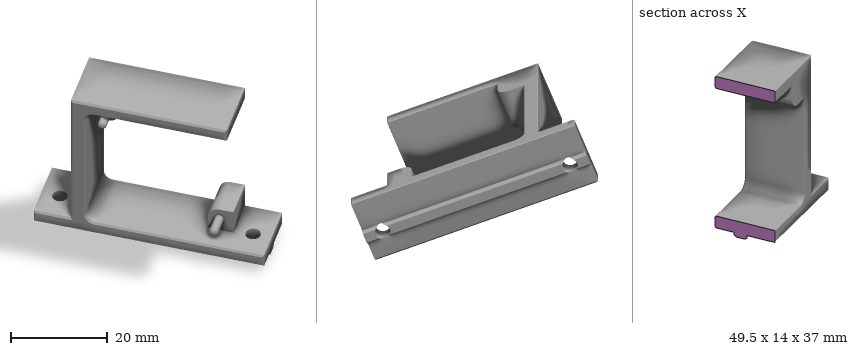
import cadquery as cq

length = 49.5
depth = 14.0
height = 37.0
foot_overhang = 8.0
key_height = 1.0
base_thickness = 2.9
wall_thickness = 3.15
arm_thickness = 2.9
inner_radius = 2.0
front_chamfer = 0.4
rear_chamfer = 0.2

hole_diameter = 3.2
hole_inset = 4.0
hole_y = 6.0
key_width = 3.05
key_chamfer = 0.5

upper_lug_width = 5.8
lower_lug_width = 5.5
lower_lug_height = 5.65
upper_lug_drop = 5.55
lug_radius = 2.48
lug_front = 5.3
pin_diameter = 1.9
pin_length = 4.95

base_top = key_height + base_thickness
wall_left = foot_overhang
wall_right = wall_left + wall_thickness
arm_end = length - foot_overhang
arm_bottom = height - arm_thickness


def box(x0, x1, y0, y1, z0, z1):
    return cq.Workplane("XY").box(x1 - x0, y1 - y0, z1 - z0, centered=False).translate((x0, y0, z0))


def make_frame():
    """Base, wall and arm as one profile, with chamfered front and rear outlines."""
    frame = (
        cq.Workplane("XZ")
        .moveTo(0, key_height)
        .lineTo(length, key_height)
        .lineTo(length, base_top)
        .lineTo(wall_right, base_top)
        .lineTo(wall_right, arm_bottom)
        .lineTo(arm_end, arm_bottom)
        .lineTo(arm_end, height)
        .lineTo(wall_left, height)
        .lineTo(wall_left, base_top)
        .lineTo(0, base_top)
        .close()
        .extrude(-depth)
    )
    for corner_z in (base_top, arm_bottom):
        corner = cq.selectors.NearestToPointSelector((wall_right, depth / 2, corner_z))
        frame = frame.edges(corner).fillet(inner_radius)
    frame = frame.faces("<Y").chamfer(front_chamfer)
    return frame.faces(">Y").chamfer(rear_chamfer)


def make_key():
    """Chamfered rib running the full length of the underside."""
    key = box(0, length, hole_y - key_width / 2, hole_y + key_width / 2, 0, base_top - base_thickness / 2)
    return key.faces("<Z").edges("|X").chamfer(key_chamfer)


def make_lug(x0, x1, z0, z1, rounded_edge):
    """Block reaching the rear face, with one rounded free corner."""
    lug = box(x0, x1, lug_front, depth, z0, z1)
    return lug.edges(rounded_edge).fillet(lug_radius)


def make_pin(x, z):
    """Round-tipped pin pointing forward from a lug."""
    pin = cq.Workplane("XZ", origin=(x, lug_front, z)).circle(pin_diameter / 2)
    pin = pin.extrude(pin_length - pin_diameter / 2)
    tip_y = lug_front - pin_length + pin_diameter / 2
    tip = cq.Workplane("XY").sphere(pin_diameter / 2).translate((x, tip_y, z))
    return pin.union(tip)


result = make_frame().union(make_key())

for hole_x in (hole_inset, length - hole_inset):
    hole = cq.Workplane("XY").center(hole_x, hole_y).circle(hole_diameter / 2).extrude(base_top)
    result = result.cut(hole)

upper_lug_right = wall_right + upper_lug_width
upper_lug_bottom = arm_bottom - upper_lug_drop
upper_lug = make_lug(
    wall_right - wall_thickness / 2, upper_lug_right,
    upper_lug_bottom, arm_bottom + arm_thickness / 2, "(|Y and >X) and (|Y and <Z)",
)
upper_pin = make_pin(upper_lug_right - lug_radius, upper_lug_bottom + lug_radius)

lower_lug_left = arm_end - lower_lug_width
lower_lug_top = base_top + lower_lug_height
lower_lug = make_lug(
    lower_lug_left, arm_end, base_top - base_thickness / 2, lower_lug_top, "|Y and <X and >Z",
)
lower_pin = make_pin(lower_lug_left + lug_radius, lower_lug_top - lug_radius)

for feature in (upper_lug, upper_pin, lower_lug, lower_pin):
    result = result.union(feature)